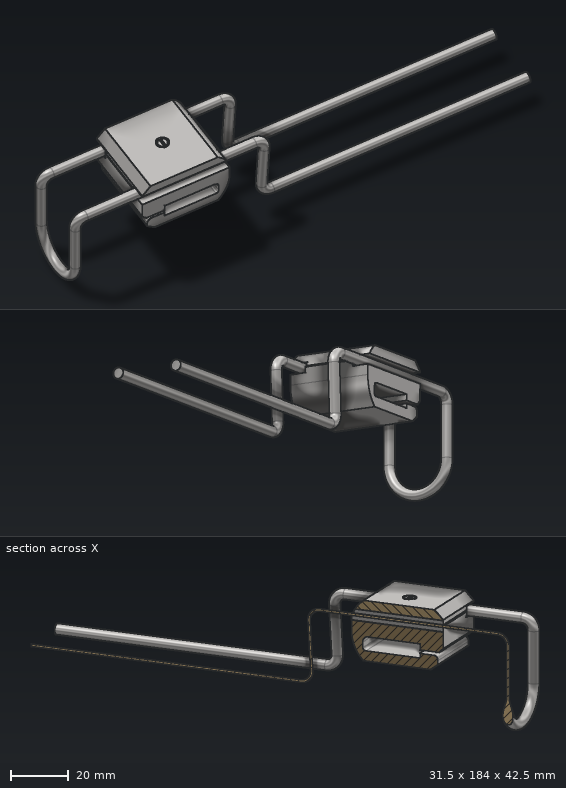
import cadquery as cq
import math

length = 184.0
body_width = 31.5
body_front = 26.7

wire_dia = 4.0
wire_radius = wire_dia / 2
wire_spacing = 23.4
bend_radius = 4.0
rail_z = -5.7
tail_z = -32.4
loop_bottom = -42.5
step_top_y = 78.2
step_bottom_y = 76.7

plate_bottom = rail_z + wire_radius
shoulder_z = rail_z - wire_radius
plate_ridge_z = -5.2
ridge_gap = 0.5
clip_ridge_z = plate_ridge_z - ridge_gap
ridge_width = wire_spacing - wire_dia

plate_bevel_y = 30.0
plate_bevel_bottom = -3.3
plate_flat_back = 57.0
plate_curve_mid = (59.8, -2.5)
plate_curve_end = (61.3, plate_ridge_z)

clip_back = 61.8
clip_bottom = -22.0
clip_curve_top = -11.5
clip_curve_mid = (60.7, -17.1)
clip_flat_back = 57.2
clip_corner = 1.7
lip_front = 28.7
lip_bevel_length = 3.0
lip_bevel_height = 2.2
lip_round = 1.7
mouth_top = -15.5
mouth_bottom = -16.5
slot_top = -13.2
slot_bottom = -18.2
slot_front = 35.7
slot_back = 57.5
slot_upper_round = 1.8
slot_lower_round = 1.1

screw_y = 44.0
screw_dia = 3.7
screw_length = 9.2
screw_slot_width = 0.7
screw_slot_depth = 1.0
countersink_dia = 4.8


def extrude_across(sketch, width):
    """Extrude a YZ outline symmetrically about X = 0."""
    return sketch.extrude(width / 2, both=True)


def across_box(width, y_range, z_range):
    """Box centred on X = 0 that spans the given Y and Z ranges."""
    size_y = y_range[1] - y_range[0]
    size_z = z_range[1] - z_range[0]
    return cq.Workplane("XY").box(width, size_y, size_z).translate((0, sum(y_range) / 2, sum(z_range) / 2))


def screw_cylinder():
    return (
        cq.Workplane("XY")
        .center(0, screw_y)
        .circle(screw_dia / 2)
        .extrude(-screw_length)
    )


def rounded_corner(before, corner, after):
    """Start, middle and end of a bend of bend_radius at a corner."""
    to_before = (before - corner).normalized()
    to_after = (after - corner).normalized()
    half_angle = to_before.getAngle(to_after) / 2
    tangent_length = bend_radius / math.tan(half_angle)
    bisector = (to_before + to_after).normalized()
    middle_distance = bend_radius / math.sin(half_angle) - bend_radius
    return (
        corner + to_before * tangent_length,
        corner + bisector * middle_distance,
        corner + to_after * tangent_length,
    )


def make_wire():
    """One wire: two tails, two rails and a front loop."""
    loop_radius = wire_spacing / 2
    loop_centre_z = loop_bottom + wire_radius + loop_radius
    leg_y = wire_radius

    def side_edges(x):
        corners = [
            cq.Vector(x, length, tail_z),
            cq.Vector(x, step_bottom_y, tail_z),
            cq.Vector(x, step_top_y, rail_z),
            cq.Vector(x, leg_y, rail_z),
            cq.Vector(x, leg_y, loop_centre_z),
        ]
        edges = []
        start = corners[0]
        for before, corner, after in zip(corners, corners[1:], corners[2:]):
            bend_start, bend_middle, bend_end = rounded_corner(before, corner, after)
            edges.append(cq.Edge.makeLine(start, bend_start))
            edges.append(cq.Edge.makeThreePointArc(bend_start, bend_middle, bend_end))
            start = bend_end
        edges.append(cq.Edge.makeLine(start, corners[-1]))
        return edges

    loop = cq.Edge.makeThreePointArc(
        cq.Vector(-loop_radius, leg_y, loop_centre_z),
        cq.Vector(0, leg_y, loop_centre_z - loop_radius),
        cq.Vector(loop_radius, leg_y, loop_centre_z),
    )
    path = cq.Wire.assembleEdges(side_edges(-loop_radius) + [loop] + side_edges(loop_radius)[::-1])
    start_plane = cq.Plane(origin=(-loop_radius, length, tail_z), xDir=(1, 0, 0), normal=(0, -1, 0))
    return cq.Workplane(start_plane).circle(wire_radius).sweep(path)


def make_plate():
    """Top plate with a bevelled front, a curved back and a ridge between the rails."""
    outline = (
        cq.Workplane("YZ")
        .moveTo(body_front, plate_ridge_z)
        .lineTo(body_front, plate_bevel_bottom)
        .lineTo(plate_bevel_y, 0)
        .lineTo(plate_flat_back, 0)
        .threePointArc(plate_curve_mid, plate_curve_end)
        .close()
    )
    plate = extrude_across(outline, body_width)
    step_width = (body_width - ridge_width) / 2
    for side in (-1, 1):
        step_x = side * (ridge_width + step_width) / 2
        step = across_box(step_width, (body_front, clip_back), (plate_ridge_z, plate_bottom))
        plate = plate.cut(step.translate((step_x, 0, 0)))
    countersink_depth = (countersink_dia - screw_dia) / 2
    countersink = cq.Workplane(cq.Solid.makeCone(
        countersink_dia / 2, screw_dia / 2, countersink_depth,
        cq.Vector(0, screw_y, 0), cq.Vector(0, 0, -1),
    ))
    return plate.cut(screw_cylinder()).cut(countersink)


def make_clip():
    """Hooked clip with an open slot below and a ridge between the rails."""
    outline = (
        cq.Workplane("YZ")
        .moveTo(body_front, shoulder_z)
        .lineTo(clip_back, shoulder_z)
        .lineTo(clip_back, clip_curve_top)
        .threePointArc(clip_curve_mid, (clip_flat_back, clip_bottom))
        .lineTo(lip_front + lip_bevel_length, clip_bottom)
        .lineTo(lip_front, clip_bottom + lip_bevel_height)
        .lineTo(lip_front, mouth_bottom - lip_round)
        .radiusArc((lip_front + lip_round, mouth_bottom), lip_round)
        .lineTo(slot_front, mouth_bottom)
        .lineTo(slot_front, slot_bottom)
        .lineTo(slot_back - slot_lower_round, slot_bottom)
        .radiusArc((slot_back, slot_bottom + slot_lower_round), -slot_lower_round)
        .lineTo(slot_back, slot_top - slot_upper_round)
        .radiusArc((slot_back - slot_upper_round, slot_top), -slot_upper_round)
        .lineTo(slot_front, slot_top)
        .lineTo(slot_front, mouth_top)
        .lineTo(body_front + clip_corner, mouth_top)
        .lineTo(body_front, mouth_top + clip_corner)
        .close()
    )
    ridge = across_box(ridge_width, (body_front, clip_back), (shoulder_z, clip_ridge_z))
    return extrude_across(outline, body_width).union(ridge).cut(screw_cylinder())


def make_screw():
    """Slotted set screw, flush with the plate, that joins plate and clip."""
    driver_slot = across_box(
        screw_dia,
        (screw_y - screw_slot_width / 2, screw_y + screw_slot_width / 2),
        (-screw_slot_depth, 0),
    )
    return screw_cylinder().cut(driver_slot)


wire = make_wire()
plate = make_plate()
clip = make_clip()
screw = make_screw()

result = cq.Compound.makeCompound([body.solids().val() for body in (wire, plate, clip, screw)])